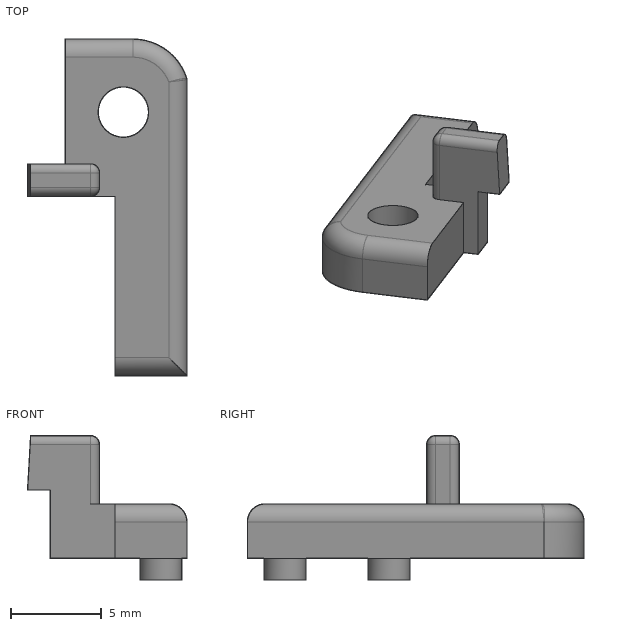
import cadquery as cq
import math


right_x = 8.77
length = 18.51
thickness = 3.0
head_left_x = 2.07
leg_left_x = 4.80
head_front_y = 9.85
plate_fillet = 1.0

corner_radius = 3.12
corner_center_x = 5.79
corner_center_y = length - corner_radius

hole_diameter = 2.75
hole_x = 5.27
hole_y = 14.49

tab_width = 1.8
tab_height = 6.75
tab_right_x = 3.96
column_left_x = 1.24
overhang_z = 3.75
tip_lean = 0.17
tab_fillet = 0.5

peg_diameter = 2.32
peg_length = 1.2
peg_x = 7.33
peg_first_y = 2.07
peg_spacing = 5.72
peg_count = 2


def make_plate():
    corner_end_angle = math.acos((right_x - corner_center_x) / corner_radius)
    corner_end_y = corner_center_y + corner_radius * math.sin(corner_end_angle)
    corner_mid_angle = (corner_end_angle + math.pi / 2) / 2
    corner_mid = (
        corner_center_x + corner_radius * math.cos(corner_mid_angle),
        corner_center_y + corner_radius * math.sin(corner_mid_angle),
    )
    plate = (
        cq.Workplane("XY")
        .moveTo(leg_left_x, 0)
        .lineTo(right_x, 0)
        .lineTo(right_x, corner_end_y)
        .threePointArc(corner_mid, (corner_center_x, length))
        .lineTo(head_left_x, length)
        .lineTo(head_left_x, head_front_y)
        .lineTo(leg_left_x, head_front_y)
        .close()
        .extrude(thickness)
    )
    rounded_edges = cq.selectors.SumSelector(
        cq.selectors.SumSelector(
            cq.selectors.NearestToPointSelector((right_x, length / 2, thickness)),
            cq.selectors.NearestToPointSelector((*corner_mid, thickness)),
        ),
        cq.selectors.SumSelector(
            cq.selectors.NearestToPointSelector(((leg_left_x + right_x) / 2, 0, thickness)),
            cq.selectors.NearestToPointSelector(((head_left_x + corner_center_x) / 2, length, thickness)),
        ),
    )
    return plate.edges(rounded_edges).fillet(plate_fillet)


def make_tab():
    upper = (
        cq.Workplane("XZ", origin=(0, head_front_y + tab_width, 0))
        .moveTo(0, overhang_z)
        .lineTo(column_left_x, overhang_z)
        .lineTo(column_left_x, 0)
        .lineTo(tab_right_x, 0)
        .lineTo(tab_right_x, tab_height)
        .lineTo(tip_lean, tab_height)
        .close()
        .extrude(tab_width)
    )
    upper = upper.edges("(>Z and |X) or (>X and |Z) or (>Z and >X)").fillet(tab_fillet)
    foot = cq.Workplane("XY").box(
        tab_right_x - column_left_x, tab_width, thickness, centered=False
    ).translate((column_left_x, head_front_y, 0))
    return upper.union(foot)


def make_pegs():
    centers = [(peg_x, peg_first_y + i * peg_spacing) for i in range(peg_count)]
    return cq.Workplane("XY").pushPoints(centers).circle(peg_diameter / 2).extrude(-peg_length)


def make_hole():
    return cq.Workplane("XY").center(hole_x, hole_y).circle(hole_diameter / 2).extrude(thickness)


result = make_plate().cut(make_hole()).union(make_tab()).union(make_pegs())